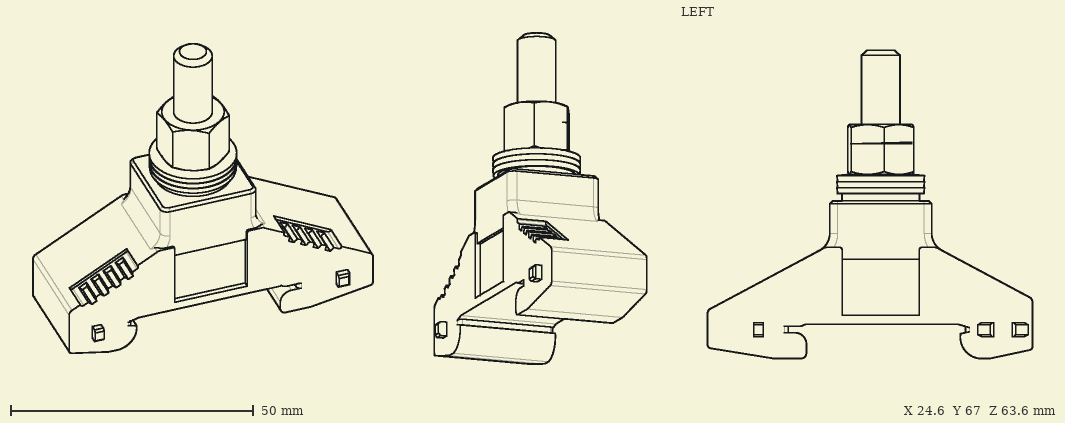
import cadquery as cq
import math


BASE_HALF_WIDTH = 10.5
LONG_END_Y = 35.7
BASE_LENGTH = 67
SHORT_END_Y = LONG_END_Y - BASE_LENGTH
SHOULDER_Z = 22.9
ROOF_EDGE_Y = 11.45
ROOF_ANGLE = 28.1
SHOULDER_RADIUS = 1.7
ROOF_END_RADIUS = 1.2
FOOT_END_RADIUS = 0.8

SEAT_Z = 7.05
SLOT_TOP_Z = 6.6
SLOT_BOTTOM_Z = 5.35
LONG_FOOT_TIP_Y = 15.3
LONG_FOOT_FLAT_Y = 22.05
LONG_FOOT_END_Z = 2.2
LONG_SLOT_END_Y = 19.0
LONG_SLOT_RAMP_Y = (15.5, 16.5)
LONG_FOOT_TIP_RADIUS = 2.4
LONG_FOOT_CORNER_RADIUS = 1.2
SHORT_FOOT_TIP_Y = -16.4
SHORT_FOOT_TIP_Z = 5.15
SHORT_FOOT_ROUND_END_Y = -20.25
SHORT_FOOT_ROUND_MID = (-17.55, 1.4)
SHORT_FOOT_FLAT_Y = -22.5
SHORT_FOOT_END_Z = 1.9
SHORT_SLOT_END_Y = -17.4
SHORT_SLOT_RAMP_Y = -15.95
SLOT_FLARE_RADIUS = 0.8

NECK_HALF_X = 10.05
NECK_HALF_Y = 10.5
NECK_TOP_Z = 32.5
NECK_CORNER_RADIUS = 1.6
NECK_TOP_CHAMFER = 0.6
NECK_FOOT_RADIUS = 4.0

RECESS_HALF_Y = 8.0
RECESS_BOTTOM_Z = 8.9
RECESS_STEP_Z = 20.5
RECESS_DEPTH = 1.2
RECESS_CORNER_RADIUS = 0.5

GRILLE_MID_Y = 22.5
GRILLE_LENGTH_Y = 12.6
GRILLE_START_X = 4.2
GRILLE_DEPTH = 0.7
GRILLE_END_RADIUS = 0.5
GRILLE_SLOT_START_X = 5.0
GRILLE_SLOT_COUNT = 4
GRILLE_SLOT_PITCH_Y = 2.7
GRILLE_SLOT_WIDTH_Y = 1.7
GRILLE_SLOT_DEPTH = 1.0
GRILLE_SLOT_DRAFT = 20

PEG_SPAN_X = 24.6
PEG_REACH = PEG_SPAN_X / 2 - BASE_HALF_WIDTH
PEG_BOTTOM_Z = 4.5
PEG_TOP_Z = 7.45
PEG_MID_Y = 25.2
PEG_WIDTH = 1.95
PEG_CHAMFER = 0.5
HOOK_WIDTH = 3.2
HOOK_NEAR_Y = 23.25
HOOK_FAR_Y = 27.15
HOOK_TIP_FLAT = 0.7
HOOK_CHAMFER = 0.5
CATCH_NEAR_Y = 27.55
CATCH_WIDTH = 2.55

STUD_RADIUS = 8.0 / 2
STUD_TOP_Z = 63.6
STUD_CHAMFER_RADIAL = 1.2
STUD_CHAMFER_HEIGHT = 1.1
COLLAR_RADIUS = 16.0 / 2

WASHER_COUNT = 3
WASHER_RIM_RADIUS = 9.05
WASHER_STACK_HEIGHT = 3.75
WASHER_PITCH = WASHER_STACK_HEIGHT / WASHER_COUNT
WASHER_SLOPE = 6
WASHER_RIM_BOTTOM_Z = 34.0

NUT_CORNER_RADIUS = 7.5
NUT_TURN = 5.4
NUT_TOP_Z = 48.25
NUT_BOTTOM_Z = 37.9
NUT_FACE_RADIUS = 6.4
NUT_CHAMFER_ANGLE = 30
NUT_SLOT_Z = 44.2
NUT_SLOT_HEIGHT = 0.4
NUT_SLOT_END_X = -3.4

ROOF_SLOPE = math.tan(math.radians(ROOF_ANGLE))
WASHER_RISE = math.tan(math.radians(WASHER_SLOPE))


def roof_z(distance_y):
    """Height of the sloping roof at a distance from the stud axis, on either side."""
    return SHOULDER_Z - (distance_y - ROOF_EDGE_Y) * ROOF_SLOPE


def cone_z(radius, rim_z):
    """Height, at a radius, of a washer cone that passes through its rim radius at rim_z."""
    return rim_z + (WASHER_RIM_RADIUS - radius) * WASHER_RISE


def box_between(x_range, y_range, z_range):
    """Box between the given limits."""
    size = [high - low for low, high in (x_range, y_range, z_range)]
    return cq.Workplane("XY").box(*size, centered=False).translate((x_range[0], y_range[0], z_range[0]))


def near(y, z):
    """Selects edges, on either side, whose middle lies at a point of the base profile."""
    margin = 0.01
    reach = BASE_HALF_WIDTH + margin
    return cq.selectors.BoxSelector((-reach, y - margin, z - margin), (reach, y + margin, z + margin))


def base_body():
    """Extruded base with two sloping roofs and two feet that clip on a rail."""
    profile = (
        cq.Workplane("YZ")
        .moveTo(-ROOF_EDGE_Y, SHOULDER_Z)
        .lineTo(ROOF_EDGE_Y, SHOULDER_Z)
        .lineTo(LONG_END_Y, roof_z(LONG_END_Y))
        .lineTo(LONG_END_Y, LONG_FOOT_END_Z)
        .lineTo(LONG_FOOT_FLAT_Y, 0)
        .lineTo(LONG_FOOT_TIP_Y, 0)
        .lineTo(LONG_FOOT_TIP_Y, SLOT_BOTTOM_Z)
        .lineTo(LONG_SLOT_END_Y, SLOT_BOTTOM_Z)
        .lineTo(LONG_SLOT_END_Y, SLOT_TOP_Z)
        .lineTo(LONG_SLOT_RAMP_Y[1], SLOT_TOP_Z)
        .lineTo(LONG_SLOT_RAMP_Y[0], SEAT_Z)
        .lineTo(SHORT_SLOT_RAMP_Y, SEAT_Z)
        .lineTo(SHORT_SLOT_END_Y, SLOT_TOP_Z)
        .lineTo(SHORT_SLOT_END_Y, SLOT_BOTTOM_Z)
        .lineTo(SHORT_FOOT_TIP_Y, SHORT_FOOT_TIP_Z)
        .threePointArc(SHORT_FOOT_ROUND_MID, (SHORT_FOOT_ROUND_END_Y, 0))
        .lineTo(SHORT_FOOT_FLAT_Y, 0)
        .lineTo(SHORT_END_Y, SHORT_FOOT_END_Z)
        .lineTo(SHORT_END_Y, roof_z(-SHORT_END_Y))
        .close()
    )
    base = profile.extrude(BASE_HALF_WIDTH, both=True)
    rounded_edges = (
        (ROOF_EDGE_Y, SHOULDER_Z, SHOULDER_RADIUS),
        (-ROOF_EDGE_Y, SHOULDER_Z, SHOULDER_RADIUS),
        (LONG_END_Y, roof_z(LONG_END_Y), ROOF_END_RADIUS),
        (SHORT_END_Y, roof_z(-SHORT_END_Y), ROOF_END_RADIUS),
        (LONG_END_Y, LONG_FOOT_END_Z, FOOT_END_RADIUS),
        (SHORT_END_Y, SHORT_FOOT_END_Z, FOOT_END_RADIUS),
        (LONG_FOOT_TIP_Y, 0, LONG_FOOT_CORNER_RADIUS),
        (LONG_FOOT_TIP_Y, SLOT_BOTTOM_Z, LONG_FOOT_TIP_RADIUS),
    )
    for y, z, radius in rounded_edges:
        base = base.edges(near(y, z)).fillet(radius)
    slot_mid_z = (SLOT_TOP_Z + SLOT_BOTTOM_Z) / 2
    for y in (LONG_SLOT_END_Y, SHORT_SLOT_END_Y):
        base = base.edges(near(y, slot_mid_z)).edges("|Z").fillet(SLOT_FLARE_RADIUS)
    return base


def neck_block():
    """Block on top of the base, flaring into both roofs through concave rounds."""
    half_turn = math.radians(90 - ROOF_ANGLE) / 2
    tangent = NECK_FOOT_RADIUS * math.tan(half_turn)
    round_top_z = roof_z(NECK_HALF_Y) + tangent
    round_end_y = NECK_HALF_Y + tangent * math.cos(math.radians(ROOF_ANGLE))
    mid_y = NECK_HALF_Y + NECK_FOOT_RADIUS * (1 - math.cos(half_turn))
    mid_z = round_top_z - NECK_FOOT_RADIUS * math.sin(half_turn)
    profile = (
        cq.Workplane("YZ")
        .moveTo(-NECK_HALF_Y, NECK_TOP_Z)
        .lineTo(NECK_HALF_Y, NECK_TOP_Z)
        .lineTo(NECK_HALF_Y, round_top_z)
        .threePointArc((mid_y, mid_z), (round_end_y, roof_z(round_end_y)))
        .lineTo(round_end_y, RECESS_STEP_Z)
        .lineTo(-round_end_y, RECESS_STEP_Z)
        .lineTo(-round_end_y, roof_z(round_end_y))
        .threePointArc((-mid_y, mid_z), (-NECK_HALF_Y, round_top_z))
        .close()
    )
    neck = profile.extrude(NECK_HALF_X, both=True)
    neck = neck.edges("|Z").edges(">Z").fillet(NECK_CORNER_RADIUS)
    return neck.faces(">Z").edges().chamfer(NECK_TOP_CHAMFER)


def side_recess(side):
    """Cutter for the recess in one long side: shallow beside the neck, deeper below it."""
    outer = side * BASE_HALF_WIDTH
    neck_face = side * NECK_HALF_X
    floor = side * (BASE_HALF_WIDTH - RECESS_DEPTH)
    y_range = (-RECESS_HALF_Y, RECESS_HALF_Y)
    shallow = box_between(sorted((neck_face, outer)), y_range, (RECESS_BOTTOM_Z, SHOULDER_Z))
    deep = box_between(sorted((floor, outer)), y_range, (RECESS_BOTTOM_Z, RECESS_STEP_Z))
    return shallow.union(deep)


def grille(direction):
    """Cutter for a shallow roof recess with a row of drafted slots; direction is the sign of its Y."""
    cos_roof = math.cos(math.radians(ROOF_ANGLE))
    sin_roof = math.sin(math.radians(ROOF_ANGLE))
    outer_x = BASE_HALF_WIDTH
    half_length = GRILLE_LENGTH_Y / cos_roof / 2
    pitch = GRILLE_SLOT_PITCH_Y / cos_roof
    half_width = GRILLE_SLOT_WIDTH_Y / cos_roof / 2
    floor_half_width = half_width - GRILLE_SLOT_DEPTH * math.tan(math.radians(GRILLE_SLOT_DRAFT))
    floor_level = -GRILLE_DEPTH - GRILLE_SLOT_DEPTH
    section = cq.Workplane(
        cq.Plane(
            origin=(outer_x, direction * GRILLE_MID_Y, roof_z(GRILLE_MID_Y)),
            xDir=(0, cos_roof, -direction * sin_roof),
            normal=(1, 0, 0),
        )
    )
    half_floor = half_length - GRILLE_END_RADIUS
    round_start = GRILLE_END_RADIUS - GRILLE_DEPTH
    cutter = (
        section.moveTo(half_length, 0)
        .lineTo(-half_length, 0)
        .lineTo(-half_length, round_start)
        .radiusArc((-half_floor, -GRILLE_DEPTH), -GRILLE_END_RADIUS)
        .lineTo(half_floor, -GRILLE_DEPTH)
        .radiusArc((half_length, round_start), -GRILLE_END_RADIUS)
        .close()
        .extrude(GRILLE_START_X - outer_x)
    )
    for index in range(GRILLE_SLOT_COUNT):
        mid = (index - (GRILLE_SLOT_COUNT - 1) / 2) * pitch
        slot = (
            section.moveTo(mid - half_width, -GRILLE_DEPTH)
            .lineTo(mid - floor_half_width, floor_level)
            .lineTo(mid + floor_half_width, floor_level)
            .lineTo(mid + half_width, -GRILLE_DEPTH)
            .close()
            .extrude(GRILLE_SLOT_START_X - outer_x)
        )
        cutter = cutter.union(slot)
    return cutter


def peg(side):
    """Rectangular locating peg with chamfered tip edges."""
    root = side * BASE_HALF_WIDTH
    tip = root + side * PEG_REACH
    mid_y = -side * PEG_MID_Y
    y_range = (mid_y - PEG_WIDTH / 2, mid_y + PEG_WIDTH / 2)
    body = box_between(sorted((root, tip)), y_range, (PEG_BOTTOM_Z, PEG_TOP_Z))
    return body.faces(">X" if side > 0 else "<X").edges("|Y").chamfer(PEG_CHAMFER)


def snap_hook(straight_y, direction):
    """Wedge hook on the -X side, straight at one Y, with a ramp running away in the given direction."""
    root = -BASE_HALF_WIDTH
    tip = root - PEG_REACH
    hook = (
        cq.Workplane("XY", origin=(0, 0, PEG_BOTTOM_Z))
        .moveTo(root, straight_y)
        .lineTo(tip + HOOK_CHAMFER, straight_y)
        .lineTo(tip, straight_y + direction * HOOK_TIP_FLAT)
        .lineTo(root, straight_y + direction * HOOK_WIDTH)
        .close()
        .extrude(PEG_TOP_Z - PEG_BOTTOM_Z)
    )
    ramp_mid_y = straight_y + direction * (HOOK_WIDTH + HOOK_TIP_FLAT) / 2
    ramp_mid = ((root + tip) / 2, ramp_mid_y, (PEG_BOTTOM_Z + PEG_TOP_Z) / 2)
    ramp_face = cq.selectors.NearestToPointSelector(ramp_mid)
    return hook.faces(ramp_face).edges("#Z").chamfer(HOOK_CHAMFER)


def catch():
    """Straight catch on the +X side with three chamfered tip edges."""
    tip = BASE_HALF_WIDTH + PEG_REACH
    body = box_between(
        (BASE_HALF_WIDTH, tip),
        (CATCH_NEAR_Y, CATCH_NEAR_Y + CATCH_WIDTH),
        (PEG_BOTTOM_Z, PEG_TOP_Z),
    )
    return body.faces(">X").edges("|Y or >Y").chamfer(PEG_CHAMFER)


def stud():
    """Round stud on a wider collar, moulded into the neck."""
    collar_height = cone_z(COLLAR_RADIUS, WASHER_RIM_BOTTOM_Z) - NECK_TOP_Z
    collar = cq.Workplane("XY", origin=(0, 0, NECK_TOP_Z)).circle(COLLAR_RADIUS).extrude(collar_height)
    rod = cq.Workplane("XY", origin=(0, 0, NECK_TOP_Z)).circle(STUD_RADIUS).extrude(STUD_TOP_Z - NECK_TOP_Z)
    rod = rod.faces(">Z").chamfer(STUD_CHAMFER_HEIGHT, STUD_CHAMFER_RADIAL)
    return collar.union(rod)


def make_housing():
    """Base, neck and stud in one piece, with side recesses, grilles, pegs and hooks."""
    housing = base_body()
    for side in (-1, 1):
        housing = housing.cut(side_recess(side))
    for y in (-RECESS_HALF_Y, RECESS_HALF_Y):
        housing = housing.edges(near(y, SHOULDER_Z)).fillet(RECESS_CORNER_RADIUS)
    housing = housing.union(neck_block())
    for side in (-1, 1):
        housing = housing.cut(grille(side)).union(peg(side))
    housing = housing.union(snap_hook(-HOOK_NEAR_Y, 1)).union(snap_hook(-HOOK_FAR_Y, -1)).union(catch())
    return housing.union(stud())


def make_washer(index):
    """Conical spring washer with its rim square to the cone, at its place in the stack."""
    bottom_z = WASHER_RIM_BOTTOM_Z + index * WASHER_PITCH
    top_z = bottom_z + WASHER_PITCH
    bottom_radius = WASHER_RIM_RADIUS - WASHER_PITCH * WASHER_RISE
    return (
        cq.Workplane("XZ")
        .moveTo(STUD_RADIUS, cone_z(STUD_RADIUS, bottom_z))
        .lineTo(bottom_radius, cone_z(bottom_radius, bottom_z))
        .lineTo(WASHER_RIM_RADIUS, top_z)
        .lineTo(STUD_RADIUS, cone_z(STUD_RADIUS, top_z))
        .close()
        .revolve(360, (0, 0), (0, 1))
    )


def make_nut():
    """Hexagon lock nut with chamfered corners and a wedge slot across one side."""
    height = NUT_TOP_Z - NUT_BOTTOM_Z
    corner_drop = (NUT_CORNER_RADIUS - NUT_FACE_RADIUS) * math.tan(math.radians(NUT_CHAMFER_ANGLE))
    hexagon = (
        cq.Workplane("XY", origin=(0, 0, NUT_BOTTOM_Z))
        .polygon(6, 2 * NUT_CORNER_RADIUS)
        .extrude(height)
        .rotate((0, 0, 0), (0, 0, 1), NUT_TURN)
    )
    rounded = (
        cq.Workplane("XZ")
        .moveTo(STUD_RADIUS, NUT_BOTTOM_Z)
        .lineTo(NUT_FACE_RADIUS, NUT_BOTTOM_Z)
        .lineTo(NUT_CORNER_RADIUS, NUT_BOTTOM_Z + corner_drop)
        .lineTo(NUT_CORNER_RADIUS, NUT_TOP_Z - corner_drop)
        .lineTo(NUT_FACE_RADIUS, NUT_TOP_Z)
        .lineTo(STUD_RADIUS, NUT_TOP_Z)
        .close()
        .revolve(360, (0, 0), (0, 1))
    )
    slot = (
        cq.Workplane("YZ", origin=(NUT_SLOT_END_X, 0, 0))
        .moveTo(NUT_CORNER_RADIUS, NUT_SLOT_Z)
        .lineTo(-NUT_CORNER_RADIUS, NUT_SLOT_Z)
        .lineTo(-NUT_CORNER_RADIUS, NUT_SLOT_Z + NUT_SLOT_HEIGHT)
        .close()
        .extrude(-NUT_CORNER_RADIUS)
    )
    return hexagon.intersect(rounded).cut(slot)


housing = make_housing()
washers = [make_washer(index) for index in range(WASHER_COUNT)]
nut = make_nut().cut(washers[-1])

result = cq.Compound.makeCompound([housing.val(), *[washer.val() for washer in washers], nut.val()])